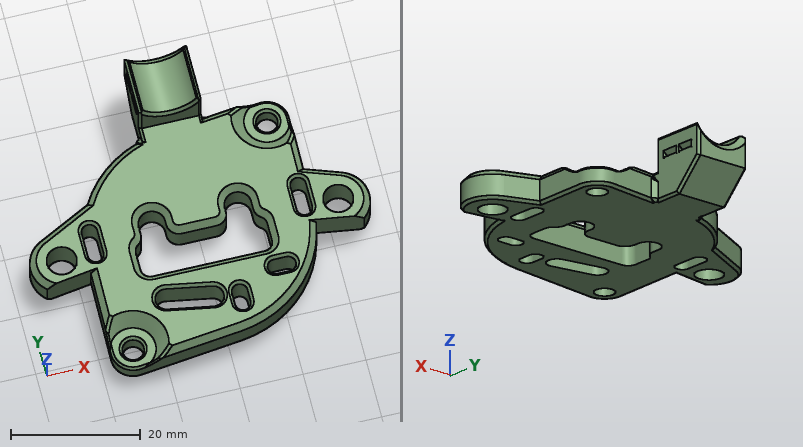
import cadquery as cq
import math

overall_width = 53.85
overall_depth = 48.7

thickness = 5.0
body_radius = 18.0
corner_radius = 3.5
corner_x = 14.7
corner_y = 16.3
top_chamfer = 1.0
bottom_chamfer = 0.5

screw_diameter = 3.4
screw_chamfer = 0.45
seat_height = 3.0
seat_radius = 3.55
seat_top_radius = seat_radius + thickness - seat_height
seat_rim_chamfer = 0.4

lug_radius = 4.95
lug_x = overall_width / 2 - lug_radius
lug_hole_diameter = 4.7
left_lug_slope = 27
right_lug_slope = 19.5
lug_inner_x = 10.75
lug_cut_slope = 8.5
lug_cut_y = -3.3

window_half_width = 10.45
window_bottom = -5.5
window_top = 0.5
window_corner = 1.5
lobe_radius = 2.1
lobe_y = 3.25
tongue_corner = 2.0

slot_chamfer = 0.5
slot_radius = 1.25
short_slot_pitch = 2.0
upright_slot_center = (3.45, -12.5)
level_slot_center = (10.8, -8.7)
lug_slot_pitch = 4.0
lug_slot_x = 16.6
lug_slot_y = 1.95
long_slot_radius = 1.7
long_slot_pitch = 7.2
long_slot_tilt = -10
long_slot_center = (-4.3, -10.65)

tower_half_width = 4.95
tower_back = overall_depth - corner_y - corner_radius
tower_length = 10.0
tower_front = tower_back - tower_length
tower_height = 10.5
tower_root_y = 10.75
tower_chamfer = 0.45
saddle_radius = 5.0
saddle_axis_z = 13.15
saddle_front_chamfer = 0.5
saddle_back_chamfer = 1.0

tie_inner_radius = 7.15
tie_outer_radius = 8.0
tie_width = 3.0
tie_gap = 0.6

gusset_edge_height = 3.1
left_gusset_tip = (-5.85, 17.0)
left_gusset_end = 18.35
right_gusset_tip = (5.9, 18.8)
right_gusset_end = 19.45

corner_angle = math.degrees(math.atan2(corner_y, corner_x))
corner_directions = (corner_angle, corner_angle + 180)
corner_distance = math.hypot(corner_x, corner_y)
tangent_spread = math.degrees(math.acos((body_radius - corner_radius) / corner_distance))


def polar(radius, degrees, center=(0, 0)):
    angle = math.radians(degrees)
    return (center[0] + radius * math.cos(angle), center[1] + radius * math.sin(angle))


def chamfered_plate(outline):
    plate = outline.extrude(thickness)
    return plate.faces(">Z").chamfer(top_chamfer).faces("<Z").chamfer(bottom_chamfer)


def make_plate():
    outline = cq.Workplane("XY").moveTo(*polar(body_radius, corner_angle - tangent_spread))
    for direction in corner_directions:
        center = polar(corner_distance, direction)
        before = direction - tangent_spread
        after = direction + tangent_spread
        outline = (
            outline.lineTo(*polar(corner_radius, before, center))
            .threePointArc(polar(corner_radius, direction, center), polar(corner_radius, after, center))
            .lineTo(*polar(body_radius, after))
            .threePointArc(polar(body_radius, direction + 90), polar(body_radius, before + 180))
        )
    return chamfered_plate(outline.close())


def make_lug(upper_slope):
    """Right-hand lug: round nose, sloped upper edge and a plain flat lower side."""
    center = (lug_x, 0)
    tangent = polar(lug_radius, 90 - upper_slope, center)
    inner_top = tangent[1] + (tangent[0] - lug_inner_x) * math.tan(math.radians(upper_slope))
    lug = chamfered_plate(
        cq.Workplane("XY")
        .moveTo(lug_inner_x, -lug_radius)
        .lineTo(lug_x, -lug_radius)
        .threePointArc((lug_x + lug_radius, 0), tangent)
        .lineTo(lug_inner_x, inner_top)
        .close()
    )
    cut_size = 4 * lug_x
    below = (
        cq.Workplane("XY")
        .rect(cut_size, cut_size)
        .extrude(thickness)
        .translate((0, -cut_size / 2, 0))
        .rotate((0, 0, 0), (0, 0, 1), -lug_cut_slope)
        .translate((lug_x, lug_cut_y, 0))
    )
    return lug.cut(below)


def make_tower():
    tower = (
        cq.Workplane("YZ")
        .moveTo(tower_root_y, 0)
        .lineTo(tower_back - thickness, 0)
        .lineTo(tower_back, thickness)
        .lineTo(tower_back, tower_height)
        .lineTo(tower_front, tower_height)
        .lineTo(tower_front, thickness)
        .lineTo(tower_root_y, thickness)
        .close()
        .extrude(tower_half_width, both=True)
        .faces("<X or >X")
        .chamfer(tower_chamfer)
    )
    saddle = (
        cq.Workplane("XY")
        .moveTo(0, tower_front)
        .lineTo(saddle_radius + saddle_front_chamfer, tower_front)
        .lineTo(saddle_radius, tower_front + saddle_front_chamfer)
        .lineTo(saddle_radius, tower_back - saddle_back_chamfer)
        .lineTo(saddle_radius + saddle_back_chamfer, tower_back)
        .lineTo(0, tower_back)
        .close()
        .revolve(360, (0, 0, 0), (0, 1, 0))
        .translate((0, 0, saddle_axis_z))
    )
    tower = tower.cut(saddle)
    middle = (tower_front + tower_back) / 2
    for side in (-1, 1):
        start = middle + side * (tie_width + tie_gap) / 2 + tie_width / 2
        channel = (
            cq.Workplane("XZ", origin=(0, start, saddle_axis_z))
            .circle(tie_outer_radius)
            .circle(tie_inner_radius)
            .extrude(tie_width)
        )
        tower = tower.cut(channel)
    return tower


def make_gusset(tip, wall_x, wall_y):
    """Corner beside the tower whose top slopes down 45 degrees toward the tower's back."""
    plan = (
        cq.Workplane("XY")
        .polyline([(0, tower_root_y), tip, (wall_x, wall_y), (0, wall_y)])
        .close()
        .extrude(thickness)
        .faces("<Z")
        .chamfer(bottom_chamfer)
    )
    slope_run = thickness - gusset_edge_height
    profile = (
        cq.Workplane("YZ")
        .moveTo(tower_root_y, 0)
        .lineTo(wall_y, 0)
        .lineTo(wall_y, gusset_edge_height)
        .lineTo(wall_y - slope_run, thickness)
        .lineTo(tower_root_y, thickness)
        .close()
        .extrude(2 * tower_half_width, both=True)
    )
    return plan.intersect(profile)


def cut_screw_seat(plate, direction):
    """Seat with a sloped wall; beveled where it breaks through the sides of the plate."""
    x, y = polar(corner_distance, direction)
    seat = (
        cq.Workplane("XZ")
        .moveTo(0, seat_height)
        .lineTo(seat_radius, seat_height)
        .lineTo(seat_top_radius, thickness)
        .lineTo(0, thickness)
        .close()
        .revolve(360, (0, 0, 0), (0, 1, 0))
    )
    plate = plate.cut(seat.translate((x, y, 0)))
    margin = 0.05
    seat_box = cq.selectors.BoxSelector(
        (x - seat_top_radius, y - seat_top_radius, seat_height - margin),
        (x + seat_top_radius, y + seat_top_radius, thickness - margin),
    )
    nearest_outer = corner_distance - seat_radius / 2

    def is_outer(edge):
        middle = edge.positionAt(0.5)
        return math.hypot(middle.x, middle.y) > nearest_outer

    return plate.edges(seat_box).filter(is_outer).chamfer(seat_rim_chamfer)


def screw_hole():
    """Screw hole cutter, widened at the seat floor."""
    radius = screw_diameter / 2
    return (
        cq.Workplane("XZ")
        .lineTo(radius, 0)
        .lineTo(radius, seat_height - screw_chamfer)
        .lineTo(radius + screw_chamfer, seat_height)
        .lineTo(0, seat_height)
        .close()
        .revolve(360, (0, 0, 0), (0, 1, 0))
    )


def flared_cutter(outline, chamfer):
    """Through cutter for an outline at z = 0 that widens at 45 degrees up to the plate's top."""
    flare = outline.extrude(chamfer, taper=-45).translate((0, 0, thickness - chamfer))
    return outline.toPending().extrude(thickness).union(flare)


def slot_cutter(x, y, pitch, radius, tilt):
    outline = cq.Workplane("XY").center(x, y).slot2D(pitch + 2 * radius, 2 * radius, tilt)
    return flared_cutter(outline, slot_chamfer)


def window_outline():
    lobe_side = window_half_width - window_corner
    lobe_x = lobe_side - lobe_radius
    tongue_x = lobe_x - lobe_radius
    lower = (lobe_side, window_bottom + window_corner)
    upper = (lobe_side, window_top - window_corner)
    shoulder_angle = math.degrees(math.acos(tongue_corner / (window_corner + tongue_corner)))
    convex = polar(window_corner + tongue_corner, shoulder_angle, upper)
    tongue = (tongue_x - tongue_corner, window_top + tongue_corner)
    return (
        cq.Workplane("XY")
        .moveTo(0, window_bottom)
        .lineTo(lobe_side, window_bottom)
        .threePointArc(polar(window_corner, -45, lower), polar(window_corner, 0, lower))
        .lineTo(window_half_width, upper[1])
        .threePointArc(
            polar(window_corner, shoulder_angle / 2, upper), polar(window_corner, shoulder_angle, upper)
        )
        .threePointArc(
            polar(tongue_corner, 180 + shoulder_angle / 2, convex), polar(tongue_corner, 180, convex)
        )
        .lineTo(lobe_side, lobe_y)
        .threePointArc((lobe_x, lobe_y + lobe_radius), (tongue_x, lobe_y))
        .lineTo(tongue_x, tongue[1])
        .threePointArc(polar(tongue_corner, -45, tongue), polar(tongue_corner, -90, tongue))
        .lineTo(0, window_top)
        .mirrorY()
    )


result = make_plate()
for direction in corner_directions:
    result = cut_screw_seat(result, direction)

result = result.union(make_lug(left_lug_slope).mirror("YZ"))
result = result.union(make_lug(right_lug_slope))
result = result.union(make_tower())
result = result.union(make_gusset(left_gusset_tip, -tower_half_width, left_gusset_end))
result = result.union(make_gusset(right_gusset_tip, tower_half_width, right_gusset_end))

for direction in corner_directions:
    result = result.cut(screw_hole().translate((*polar(corner_distance, direction), 0)))
lug_holes = cq.Workplane("XY").pushPoints([(-lug_x, 0), (lug_x, 0)]).circle(lug_hole_diameter / 2)
result = result.cut(lug_holes.extrude(thickness))

result = result.cut(flared_cutter(window_outline(), top_chamfer))
for side in (-1, 1):
    result = result.cut(slot_cutter(side * lug_slot_x, lug_slot_y, lug_slot_pitch, slot_radius, 90))
result = result.cut(slot_cutter(*upright_slot_center, short_slot_pitch, slot_radius, 90))
result = result.cut(slot_cutter(*level_slot_center, short_slot_pitch, slot_radius, 0))
result = result.cut(slot_cutter(*long_slot_center, long_slot_pitch, long_slot_radius, long_slot_tilt))